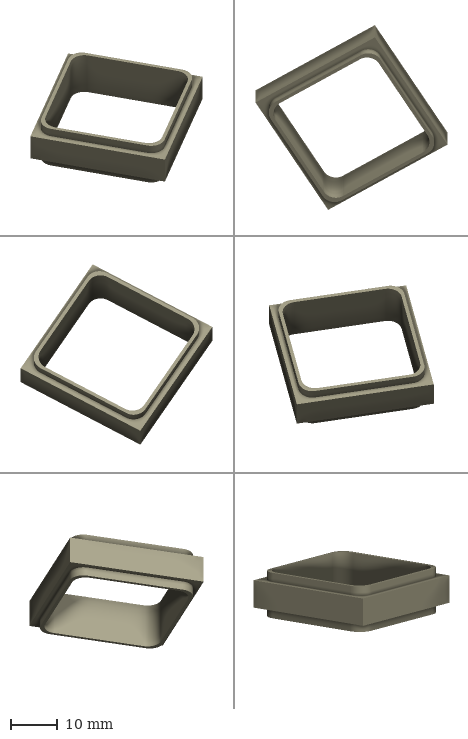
import cadquery as cq

frame_side = 30.0
frame_height = 6.0

sleeve_side = 27.5
sleeve_height = 10.0
sleeve_corner_radius = 3.0
bore_side = 26.0
bore_corner_radius = 3.0


def square_block(side, height):
    """Square block centred on the origin."""
    return cq.Workplane("XY").box(side, side, height)


def rounded_block(side, height, corner_radius):
    """Square block centred on the origin, with rounded vertical edges."""
    return square_block(side, height).edges("|Z").fillet(corner_radius)


def make_frame():
    """Sharp-cornered frame whose opening matches the outside of the sleeve."""
    opening = rounded_block(sleeve_side, frame_height, sleeve_corner_radius)
    return square_block(frame_side, frame_height).cut(opening)


def make_sleeve():
    """Rounded square tube, standing out equally above and below the frame."""
    outside = rounded_block(sleeve_side, sleeve_height, sleeve_corner_radius)
    bore = rounded_block(bore_side, sleeve_height, bore_corner_radius)
    return outside.cut(bore)


frame = make_frame()
sleeve = make_sleeve()

result = cq.Compound.makeCompound([frame.val(), sleeve.val()])